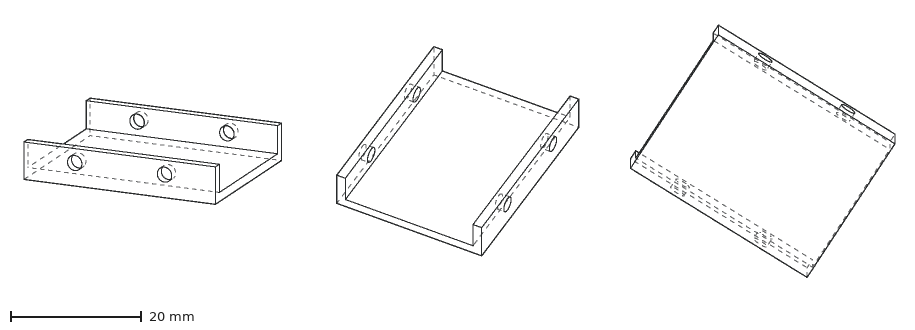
import cadquery as cq

length = 32.0
width = 25.0
height = 6.0
wall = 1.5

hole_diameter = 2.4
hole_spacing = 15.0
hole_height = 3.7


def channel():
    """Box along X with an open trough between the two side walls."""
    body = cq.Workplane("XY").box(length, width, height, centered=(True, True, False))
    trough = (
        cq.Workplane("XY")
        .workplane(offset=wall)
        .box(length, width - 2 * wall, height - wall, centered=(True, True, False))
    )
    return body.cut(trough)


def side_holes():
    """Pair of cylinders along Y, long enough to cross both side walls."""
    return (
        cq.Workplane("XZ")
        .pushPoints([(side * hole_spacing / 2, hole_height) for side in (-1, 1)])
        .circle(hole_diameter / 2)
        .extrude(width / 2, both=True)
    )


result = channel().cut(side_holes())